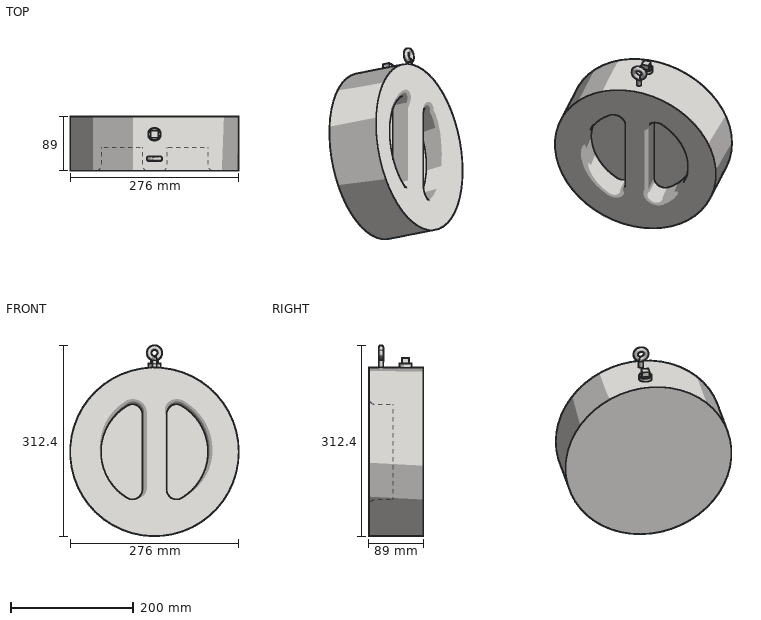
import cadquery as cq
import math

body_diameter = 276.0
body_thickness = 89.0
body_radius = body_diameter / 2
front_y = -body_thickness / 2
overall_height = 312.35

bar_width = 20.0
port_mouth_radius = 97.5
port_mouth_corner_radius = 26.0
port_lip_radius = 10.0
port_depth = 39.0

plug_from_front = 60.0
plug_diameter = 20.96
plug_collar_height = 7.0
plug_collar_chamfer = 1.0
plug_square = 12.0
plug_height = 15.5

eye_from_front = 20.0
eye_bar_diameter = 8.0
eye_outer_diameter = 25.4
eye_shank_height = 11.5
eye_bend_angle = 26.0
eye_tip_angle = 22.0

root_depth = 5.0

selection_margin = 1.0


def make_body():
    """Plain disc, centred on the origin."""
    return cq.Workplane("XZ").circle(body_radius).extrude(body_thickness / 2, both=True)


def port_profile(inset, y):
    """D-shaped outline on the +X side, moved inwards by inset, in the plane at y."""
    straight_x = bar_width / 2 + inset
    arc_radius = port_mouth_radius - inset
    corner_radius = port_mouth_corner_radius - inset
    corner_x = straight_x + corner_radius
    corner_z = math.sqrt((arc_radius - corner_radius) ** 2 - corner_x**2)
    tangent_angle = math.atan2(corner_z, corner_x)
    tangent_x = arc_radius * math.cos(tangent_angle)
    tangent_z = arc_radius * math.sin(tangent_angle)
    corner_mid_angle = (tangent_angle + math.pi) / 2
    corner_mid_x = corner_x + corner_radius * math.cos(corner_mid_angle)
    corner_mid_z = corner_z + corner_radius * math.sin(corner_mid_angle)
    return (
        cq.Workplane("XZ", origin=(0, y, 0))
        .moveTo(straight_x, -corner_z)
        .lineTo(straight_x, corner_z)
        .threePointArc((corner_mid_x, corner_mid_z), (tangent_x, tangent_z))
        .threePointArc((arc_radius, 0), (tangent_x, -tangent_z))
        .threePointArc((corner_mid_x, -corner_mid_z), (straight_x, -corner_z))
        .close()
    )


def cut_ports(body):
    """Cut both ports and round their mouths."""
    port = port_profile(port_lip_radius, front_y).extrude(-port_depth)
    body = body.cut(port).cut(port.mirror("YZ"))
    mouth_edges = cq.selectors.BoxSelector(
        (-port_mouth_radius, front_y - selection_margin, -port_mouth_radius),
        (port_mouth_radius, front_y + selection_margin, port_mouth_radius),
        boundingbox=True,
    )
    return body.edges(mouth_edges).fillet(port_lip_radius)


def make_plug():
    """Round collar with a square head."""
    base = cq.Workplane("XY", origin=(0, front_y + plug_from_front, body_radius - root_depth))
    collar = base.circle(plug_diameter / 2).extrude(root_depth + plug_collar_height)
    collar = collar.faces(">Z").chamfer(plug_collar_chamfer)
    head = base.rect(plug_square, plug_square).extrude(root_depth + plug_height)
    return collar.union(head)


def make_eye_bolt():
    """Shank joined to an open ring by a short straight stretch, the ring's tip ending beside it."""
    eye_y = front_y + eye_from_front
    bar_radius = eye_bar_diameter / 2
    ring_radius = (eye_outer_diameter - eye_bar_diameter) / 2
    ring_z = overall_height - body_radius - eye_outer_diameter / 2
    bend = math.radians(eye_bend_angle)

    ring_start_x = -ring_radius * math.sin(bend)
    ring_start_z = ring_z - ring_radius * math.cos(bend)
    ring_sweep = 360 - eye_bend_angle - eye_tip_angle
    ring_turn = 90 - eye_tip_angle
    ring = (
        cq.Workplane("XY", origin=(ring_radius, eye_y, ring_z))
        .circle(bar_radius)
        .revolve(ring_sweep, (-ring_radius, 0, 0), (-ring_radius, -1, 0))
    )
    ring = ring.rotate((0, eye_y, ring_z), (0, eye_y + 1, ring_z), ring_turn)

    shank = (
        cq.Workplane("XY", origin=(0, eye_y, body_radius - root_depth))
        .circle(bar_radius)
        .extrude(root_depth + eye_shank_height)
    )

    stretch_plane = cq.Plane(
        origin=(ring_start_x, eye_y, ring_start_z),
        xDir=(0, 1, 0),
        normal=(math.cos(bend), 0, -math.sin(bend)),
    )
    stretch = cq.Workplane(stretch_plane).circle(bar_radius).extrude(eye_outer_diameter)
    shank_corner = cq.Workplane("XY", origin=(bar_radius, eye_y, body_radius + eye_shank_height))
    above_shank = shank_corner.rect(2 * eye_outer_diameter, eye_outer_diameter).extrude(eye_outer_diameter)
    beyond_side = shank_corner.center(eye_outer_diameter / 2, 0)
    beyond_side = beyond_side.rect(eye_outer_diameter, eye_outer_diameter).extrude(eye_outer_diameter)
    stretch = stretch.intersect(above_shank.cut(beyond_side))
    return ring.union(stretch).union(shank)


result = cut_ports(make_body()).union(make_plug()).union(make_eye_bolt())